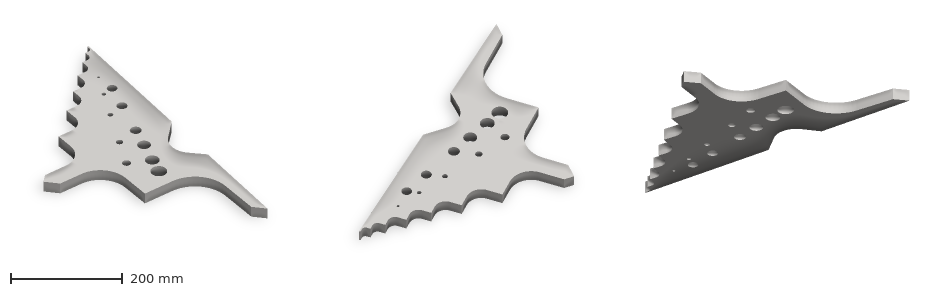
import cadquery as cq
import math

LENGTH = 579.0
DEPTH = 305.0
THICKNESS = 22.0
RIGHT_TIP_DROP = 31.0
TOP_SLOPE = RIGHT_TIP_DROP / LENGTH

TIP_SETBACK = 2.5
STEPS = [
    (14.5, -3.0, 7.0),
    (33.5, -17.0, 10.0),
    (59.5, -37.5, 14.0),
    (92.5, -68.0, 17.5),
    (131.0, -102.5, 21.0),
    (183.5, -146.0, 28.0),
    (260.5, -203.0, 41.0),
]

LEG_LEFT_X = STEPS[-1][0]
LEG_RIGHT_X = 297.0
LEG_POINT_X = 274.5
LEG_POINT_Y = -DEPTH
LEG_LEFT_Y = LEG_POINT_Y + (LEG_POINT_X - LEG_LEFT_X)
LEG_RIGHT_Y = -284.0

SHELF_Y = -180.5
SHELF_RADIUS = 56.0
BODY_RIGHT_X = 411.5
WING_BOTTOM_Y = -51.5
WING_BOTTOM_END_X = 557.0
WING_RADIUS = 68.0

NOTCH_LEFT_X = 270.0
NOTCH_RIGHT_X = 386.0
NOTCH_RADIUS = 41.0

LARGE_HOLES = [
    (127.0, -41.0, 19.0),
    (179.0, -58.0, 19.5),
    (252.0, -81.5, 21.5),
    (295.0, -95.5, 25.0),
    (340.0, -110.5, 26.5),
    (373.5, -121.0, 30.0),
]
SMALL_HOLES = [
    (86.0, -41.0, 5.0),
    (132.0, -63.0, 8.0),
    (187.5, -90.5, 10.5),
    (262.0, -125.5, 13.5),
    (319.5, -153.0, 16.0),
]


def top_edge(x):
    """Point on the sloping top edge at the given X."""
    return (x, -TOP_SLOPE * x)


def arc_to(outline, center, radius, mid_angle, end_angle):
    """Continue the outline with an arc through mid_angle to end_angle (degrees)."""

    def on_circle(angle):
        a = math.radians(angle)
        return (center[0] + radius * math.cos(a), center[1] + radius * math.sin(a))

    return outline.threePointArc(on_circle(mid_angle), on_circle(end_angle))


def add_staircase(outline):
    """Ledges, fillets and walls stepping down from the left tip to the leg."""
    ledge_start_x = TIP_SETBACK
    for wall_x, ledge_y, radius in STEPS:
        outline = outline.lineTo(ledge_start_x, ledge_y).lineTo(wall_x - radius, ledge_y)
        outline = arc_to(outline, (wall_x - radius, ledge_y - radius), radius, 45, 0)
        ledge_start_x = wall_x
    return outline


def add_inner_corner(outline, wall_x, ledge_y, radius):
    """Wall going up that turns through a fillet into a ledge running to +X."""
    outline = outline.lineTo(wall_x, ledge_y - radius)
    return arc_to(outline, (wall_x + radius, ledge_y - radius), radius, 135, 90)


def add_notch(outline):
    """Rounded V notch, drawn from its right flank to its left flank."""
    left_x, left_y = top_edge(NOTCH_LEFT_X)
    right_x, right_y = top_edge(NOTCH_RIGHT_X)
    apex_x = (left_x + right_x + left_y - right_y) / 2
    apex_y = left_y - (apex_x - left_x)
    tangent_offset = NOTCH_RADIUS / math.sqrt(2)
    center = (apex_x, apex_y + NOTCH_RADIUS * math.sqrt(2))
    outline = outline.lineTo(right_x, right_y)
    outline = outline.lineTo(apex_x + tangent_offset, apex_y + tangent_offset)
    outline = arc_to(outline, center, NOTCH_RADIUS, -90, -135)
    return outline.lineTo(left_x, left_y)


def make_plate():
    """Bat-shaped plate, with its outline drawn counterclockwise from the left tip."""
    outline = add_staircase(cq.Workplane("XY").moveTo(*top_edge(0)))
    outline = outline.lineTo(LEG_LEFT_X, LEG_LEFT_Y)
    outline = outline.lineTo(LEG_POINT_X, LEG_POINT_Y)
    outline = outline.lineTo(LEG_RIGHT_X, LEG_RIGHT_Y)
    outline = add_inner_corner(outline, LEG_RIGHT_X, SHELF_Y, SHELF_RADIUS)
    outline = outline.lineTo(BODY_RIGHT_X, SHELF_Y)
    outline = add_inner_corner(outline, BODY_RIGHT_X, WING_BOTTOM_Y, WING_RADIUS)
    outline = outline.lineTo(WING_BOTTOM_END_X, WING_BOTTOM_Y)
    outline = outline.lineTo(*top_edge(LENGTH))
    outline = add_notch(outline)
    return outline.close().extrude(THICKNESS)


def drill_holes(plate):
    """Cut both rows of round holes through the plate."""
    for x, y, diameter in LARGE_HOLES + SMALL_HOLES:
        drill = cq.Workplane("XY").center(x, y).circle(diameter / 2).extrude(THICKNESS)
        plate = plate.cut(drill)
    return plate


result = drill_holes(make_plate())